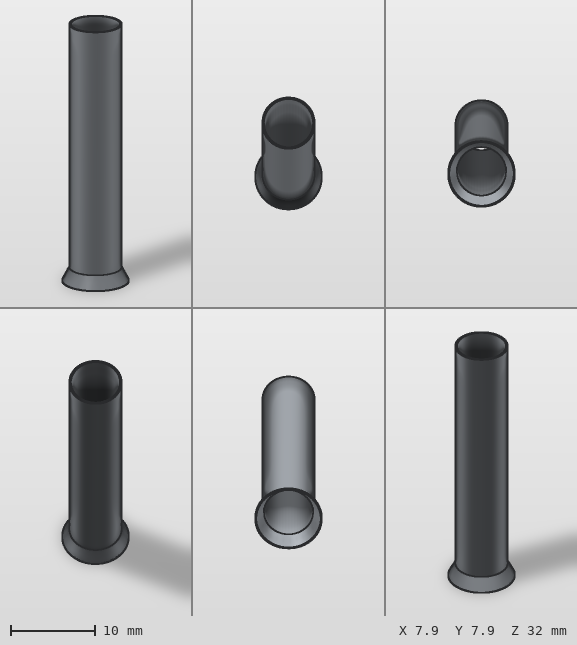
import cadquery as cq

total_length = 32.0
tube_outer_diameter = 6.2
wall_thickness = 0.2
flare_outer_diameter = 7.9
flare_height = 1.7
rim_height = 0.05
mouth_lip_width = 0.15

tube_outer_radius = tube_outer_diameter / 2
tube_inner_radius = tube_outer_radius - wall_thickness
flare_outer_radius = flare_outer_diameter / 2
flare_inner_radius = flare_outer_radius - mouth_lip_width


def flared_tube():
    """Thin-walled tube along Z whose lower end opens into a conical flare."""
    wall_profile = (
        cq.Workplane("XZ")
        .moveTo(flare_inner_radius, 0)
        .lineTo(flare_outer_radius, 0)
        .lineTo(flare_outer_radius, rim_height)
        .lineTo(tube_outer_radius, flare_height)
        .lineTo(tube_outer_radius, total_length)
        .lineTo(tube_inner_radius, total_length)
        .lineTo(tube_inner_radius, flare_height)
        .close()
    )
    return wall_profile.revolve(360, (0, 0, 0), (0, 1, 0))


result = flared_tube()